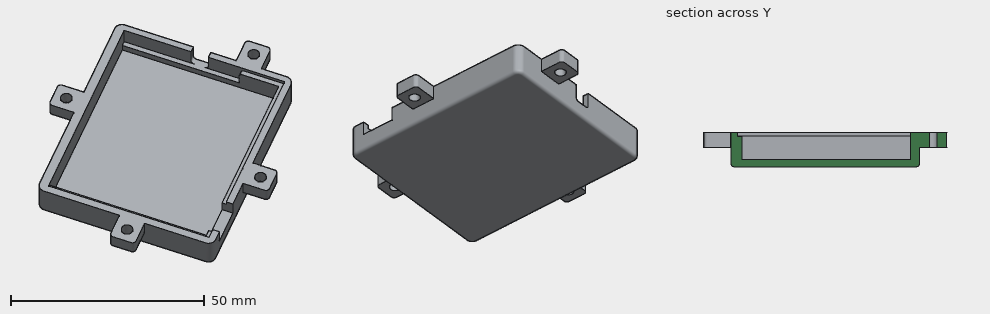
import cadquery as cq

BODY_X = 49.0
BODY_Y = 57.0
BODY_HEIGHT = 9.0
CORNER_RADIUS = 2.0
BOTTOM_FILLET = 1.0
FLOOR_THICKNESS = 2.0

LEFT_WALL = 2.5
LOWER_WALL = 3.0

LEDGE_DEPTH = 1.0
RIGHT_RIM = 1.85
BACK_RIM = 1.7
FRONT_RIM = 1.95

LOW_LEDGE_Z = 4.0
LOW_LEDGE_END = 11.5
LEDGE_END_FILLET = 1.0

SLOT_X_MIN = -3.4
SLOT_X_MAX = 1.4
SLOT_FILLET = 0.9

NOTCH_Y_MIN = -23.9
NOTCH_Y_MAX = -14.4
NOTCH_Z = 5.0

TAB_SIZE = 7.0
TAB_THICKNESS = 4.0
TAB_CORNER_RADIUS = 1.0
TAB_HOLE_DIAMETER = 3.0
BACK_TAB_X = 12.0
FRONT_TAB_X = 2.0
LEFT_TAB_Y = 1.2
RIGHT_TAB_Y = -3.8

BODY_RIGHT = BODY_X / 2
BODY_BACK = BODY_Y / 2
CAVITY_LEFT = LEFT_WALL - BODY_RIGHT
CAVITY_RIGHT = BODY_RIGHT - LOWER_WALL
CAVITY_FRONT = LOWER_WALL - BODY_BACK
CAVITY_BACK = BODY_BACK - LOWER_WALL
RIM_RIGHT = BODY_RIGHT - RIGHT_RIM
RIM_FRONT = FRONT_RIM - BODY_BACK
RIM_BACK = BODY_BACK - BACK_RIM
LEDGE_Z = BODY_HEIGHT - LEDGE_DEPTH


def block(x_min, x_max, y_min, y_max, z_min, z_max):
    """Axis-aligned box between the given limits."""
    size = (x_max - x_min, y_max - y_min, z_max - z_min)
    return cq.Workplane("XY").box(*size, centered=False).translate((x_min, y_min, z_min))


def make_body():
    """Solid tray blank with rounded corners and a rounded underside."""
    body = cq.Workplane("XY").rect(BODY_X, BODY_Y).extrude(BODY_HEIGHT)
    body = body.edges("|Z").fillet(CORNER_RADIUS)
    return body.faces("<Z").edges().fillet(BOTTOM_FILLET)


def make_cavity():
    """Main pocket down to the floor, widened above the ledge for the lid."""
    pocket = block(CAVITY_LEFT, CAVITY_RIGHT, CAVITY_FRONT, CAVITY_BACK, FLOOR_THICKNESS, BODY_HEIGHT)
    lid_recess = block(CAVITY_LEFT, RIM_RIGHT, RIM_FRONT, RIM_BACK, LEDGE_Z, BODY_HEIGHT)
    return pocket.union(lid_recess)


def make_low_ledge_cut():
    """Cut that lowers the +Y ledge and rounds the top of the ledge that remains."""
    fillet_start = LEDGE_Z - LEDGE_END_FILLET
    profile = (
        cq.Workplane("XZ", origin=(0, RIM_BACK, 0))
        .moveTo(CAVITY_LEFT, LOW_LEDGE_Z)
        .lineTo(LOW_LEDGE_END - LEDGE_END_FILLET, LOW_LEDGE_Z)
        .lineTo(LOW_LEDGE_END - LEDGE_END_FILLET, fillet_start)
        .radiusArc((LOW_LEDGE_END, LEDGE_Z), LEDGE_END_FILLET)
        .lineTo(CAVITY_LEFT, LEDGE_Z)
        .close()
    )
    return profile.extrude(RIM_BACK - CAVITY_BACK)


def make_slot():
    """Slot through the +Y rim down to the low ledge, with rounded bottom edges."""
    slot = block(SLOT_X_MIN, SLOT_X_MAX, RIM_BACK, BODY_BACK, LOW_LEDGE_Z, BODY_HEIGHT)
    return slot.faces("<Z").edges("|Y").fillet(SLOT_FILLET)


def make_notch():
    """Rectangular notch through the full +X wall."""
    return block(CAVITY_RIGHT, BODY_RIGHT, NOTCH_Y_MIN, NOTCH_Y_MAX, NOTCH_Z, BODY_HEIGHT)


def make_tab(x, y, angle):
    """Tab whose root is centred on (x, y), pointing along +X turned by angle."""
    tab = (
        cq.Workplane("XY")
        .center(TAB_SIZE / 2, 0)
        .rect(TAB_SIZE, TAB_SIZE)
        .extrude(TAB_THICKNESS)
        .edges("|Z and >X")
        .fillet(TAB_CORNER_RADIUS)
        .faces(">Z")
        .workplane(centerOption="CenterOfBoundBox")
        .hole(TAB_HOLE_DIAMETER)
    )
    tab = tab.rotate((0, 0, 0), (0, 0, 1), angle)
    return tab.translate((x, y, BODY_HEIGHT - TAB_THICKNESS))


TABS = [
    (BODY_RIGHT, RIGHT_TAB_Y, 0),
    (BACK_TAB_X, BODY_BACK, 90),
    (-BODY_RIGHT, LEFT_TAB_Y, 180),
    (FRONT_TAB_X, -BODY_BACK, 270),
]

result = make_body()
for cut in (make_cavity(), make_low_ledge_cut(), make_slot(), make_notch()):
    result = result.cut(cut)
for tab_x, tab_y, tab_angle in TABS:
    result = result.union(make_tab(tab_x, tab_y, tab_angle))